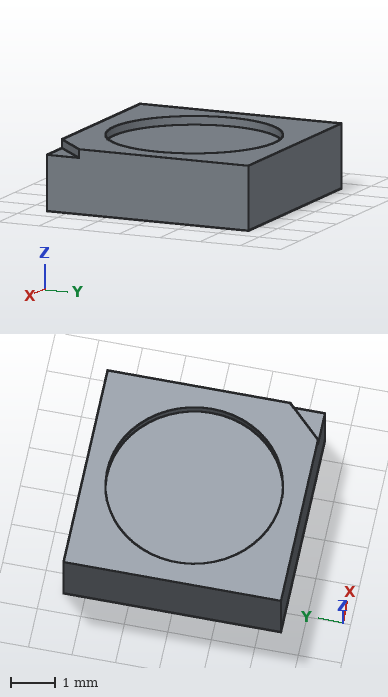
import cadquery as cq

side = 5.0
height = 1.5

recess_diameter = 4.0
recess_depth = 0.2

notch_leg = 0.8
notch_depth = 0.2


def make_body():
    """Square block centred on the Z axis, standing on Z = 0."""
    return cq.Workplane("XY").box(side, side, height, centered=(True, True, False))


def make_recess():
    """Shallow disc sunk into the top face."""
    floor = height - recess_depth
    return cq.Workplane("XY").workplane(offset=floor).circle(recess_diameter / 2).extrude(recess_depth)


def make_corner_notch():
    """Triangular prism at the +X, -Y top corner."""
    corner_x = side / 2
    corner_y = -side / 2
    return (
        cq.Workplane("XY")
        .workplane(offset=height - notch_depth)
        .moveTo(corner_x, corner_y)
        .lineTo(corner_x, corner_y + notch_leg)
        .lineTo(corner_x - notch_leg, corner_y)
        .close()
        .extrude(notch_depth)
    )


result = make_body().cut(make_recess()).cut(make_corner_notch())